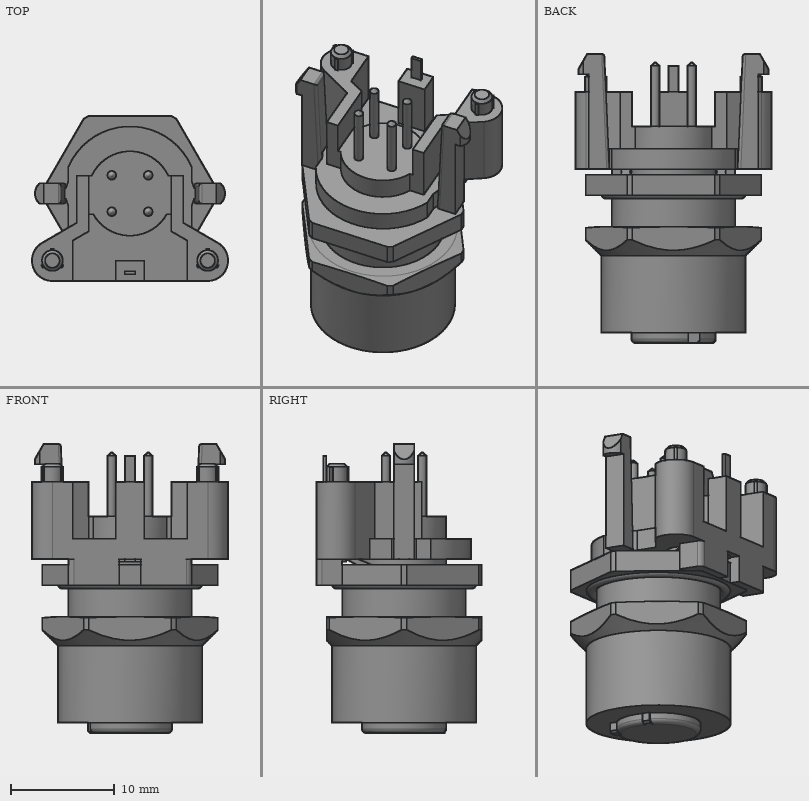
import cadquery as cq
import math


sleeve_bottom = 1.0
nut_hex_bottom = 8.48
nut_top = 11.28
flange_bottom = 14.3
flange_top = 16.32
plate_bottom = 16.85
plate_top = 18.82
insert_top = 21.0
bracket_top = 24.33
peg_top = 26.1
blade_top = 26.85
pin_tip = 27.22
clip_top = 28.0

hex_across_flats = 15.0
hex_corner_radius = 8.5

sleeve_radius = 7.0
nut_face_radius = 7.2
nut_face_drop = 0.1
neck_radius = 6.0
seal_cord_radius = 0.5
seal_center_radius = neck_radius + seal_cord_radius
seal_center_z = flange_bottom + 0.17

insert_radius = 4.1
insert_rounding = 0.45
pin_radius = 0.42
pin_offset = 1.75
pin_cone_height = 0.35
key_width = 0.75
key_length = 1.12
key_chamfer = 0.22
key_corners = ((-4.1, -1.4), (-2.55, 3.15))

plate_radius = 6.5
plate_half_width = 5.95
plate_front_y = -3.35
bracket_front = -8.48
column_radius = 2.0
overall_width = 19.0
column_x = overall_width / 2 - column_radius
column_y = bracket_front + column_radius
arm_slope = math.radians(30)
arm_tip_y = 1.75
arm_outer_x = 5.18
arm_inner_x = 4.0
arm_inner_bend_y = -3.67
recess_half_width = 5.55
bridge_back_y = -2.02
post_half_width = 1.4
post_depth = 2.0

skirt_back_y = -6.0
skirt_rounding = 0.5
skirt_notch_half_width = 1.05

peg_radius = 1.0
peg_chamfer = 0.3
peg_rib_reach = 1.15
peg_rib_width = 0.28

clip_width = 2.0
clip_inner_top_x = 6.7
clip_inner_foot_x = 6.22
clip_outer_x = 8.2
clip_inner_rounding = 0.28
barb_tip_x = 9.2
barb_slope_start_x = 8.37
barb_bottom = 26.0
barb_edge_height = 0.5
barb_round_start_x = 8.75
clip_neck_width = 1.0
clip_neck_root_width = 2.4

contact_thickness = 0.3
contact_half_width = 0.5
contact_front_y = -7.85
bar_half_width = 5.05
bar_bottom = 16.6
bar_back_y = -5.6
leg_width = 0.85
leg_top_front_y, leg_top_back_y = -5.65, -4.42
leg_foot_front_y, leg_foot_back_y = -4.65, -3.2


def box(x_min, x_max, y_min, y_max, z_min, z_max):
    return cq.Workplane("XY").box(
        x_max - x_min, y_max - y_min, z_max - z_min, centered=False
    ).translate((x_min, y_min, z_min))


def cylinder(radius, z_min, z_max):
    return cq.Workplane("XY").workplane(offset=z_min).circle(radius).extrude(z_max - z_min)


def hexagon(z_min, z_max):
    """Hexagon with flats facing +Y and -Y, its corners turned down to a cylinder."""
    corner_diameter = hex_across_flats / math.cos(math.radians(30))
    prism = cq.Workplane("XY").workplane(offset=z_min).polygon(6, corner_diameter).extrude(z_max - z_min)
    return prism.intersect(cylinder(hex_corner_radius, z_min, z_max))


def both_sides(shape):
    """The shape together with its mirror image across the YZ plane."""
    return shape.union(shape.mirror("YZ"))


def make_seal():
    return (
        cq.Workplane("XZ")
        .center(seal_center_radius, seal_center_z)
        .circle(seal_cord_radius)
        .revolve(360, (-seal_center_radius, 0), (-seal_center_radius, 1))
    )


def make_nut():
    """Hexagon with a 45 degree cone below and a shallow one on top, and a long sleeve."""
    cone_height = hex_corner_radius - sleeve_radius
    turned_limit = (
        cq.Workplane("XZ")
        .polyline([
            (0, nut_hex_bottom),
            (sleeve_radius, nut_hex_bottom),
            (hex_corner_radius, nut_hex_bottom + cone_height),
            (hex_corner_radius, nut_top - nut_face_drop),
            (nut_face_radius, nut_top),
            (0, nut_top),
        ])
        .close()
        .revolve(360, (0, 0), (0, 1))
    )
    nut = hexagon(nut_hex_bottom, nut_top).intersect(turned_limit)
    nut = nut.union(cylinder(sleeve_radius, sleeve_bottom, nut_hex_bottom))
    nut = nut.cut(cylinder(neck_radius, nut_hex_bottom, nut_top))
    return nut.cut(cylinder(insert_radius, sleeve_bottom, nut_hex_bottom))


def make_flange(seal):
    """Hexagonal flange and its neck, which enters the nut; the seal sits in its lower face."""
    flange = hexagon(flange_bottom, flange_top)
    flange = flange.union(cylinder(neck_radius, nut_hex_bottom, flange_bottom))
    flange = flange.cut(cylinder(insert_radius, nut_hex_bottom, flange_top))
    return flange.cut(seal)


def make_insert():
    """Contact insert with its keys at the mating end and four pins on top."""
    insert = cylinder(insert_radius, 0, insert_top).faces("<Z").edges().fillet(insert_rounding)
    for x, y in key_corners:
        key = box(x, x + key_length, y, y + key_width, 0, sleeve_bottom)
        insert = insert.union(key.edges("<X and <Z").chamfer(key_chamfer))
    for x in (-pin_offset, pin_offset):
        for y in (-pin_offset, pin_offset):
            pin = cylinder(pin_radius, plate_top, pin_tip - pin_cone_height)
            tip = cq.Solid.makeCone(pin_radius, 0, pin_cone_height, pnt=(0, 0, pin_tip - pin_cone_height))
            insert = insert.union(pin.union(tip).translate((x, y, 0)))
    return insert


def make_plate():
    """Disc with two flats, square at the front where it meets the floor between the arms."""
    plate = cylinder(plate_radius, plate_bottom, plate_top).intersect(
        box(-plate_half_width, plate_half_width, -plate_radius, plate_radius, plate_bottom, plate_top)
    )
    shoulders = box(-plate_half_width, plate_half_width, plate_front_y, 0, plate_bottom, plate_top)
    floor = box(
        -recess_half_width, recess_half_width, bracket_front, arm_inner_bend_y, plate_bottom, plate_top
    )
    bridge = box(-arm_inner_x, arm_inner_x, bridge_back_y, arm_tip_y, plate_bottom, insert_top)
    return plate.union(shoulders).union(floor).union(bridge)


def make_arm():
    """Left arm: a straight wall and a sloping wall that ends in a round column."""
    tangent_x = -column_x - column_radius * math.sin(arm_slope)
    tangent_y = column_y + column_radius * math.cos(arm_slope)
    outer_bend_y = tangent_y + (-arm_outer_x - tangent_x) * math.tan(arm_slope)
    recess_bend_y = arm_inner_bend_y - (recess_half_width - arm_inner_x) * math.tan(arm_slope)
    arc_middle = (
        -column_x - column_radius * math.cos(arm_slope),
        column_y - column_radius * math.sin(arm_slope),
    )
    return (
        cq.Workplane("XY")
        .workplane(offset=plate_bottom)
        .moveTo(-arm_inner_x, arm_tip_y)
        .lineTo(-arm_outer_x, arm_tip_y)
        .lineTo(-arm_outer_x, outer_bend_y)
        .lineTo(tangent_x, tangent_y)
        .threePointArc(arc_middle, (-column_x, bracket_front))
        .lineTo(-recess_half_width, bracket_front)
        .lineTo(-recess_half_width, recess_bend_y)
        .lineTo(-arm_inner_x, arm_inner_bend_y)
        .close()
        .extrude(bracket_top - plate_bottom)
    )


def make_peg():
    """Left locating peg with three ribs along its side."""
    peg = cylinder(peg_radius, bracket_top, peg_top).faces(">Z").edges().chamfer(peg_chamfer)
    rib = box(
        0, peg_rib_reach, -peg_rib_width / 2, peg_rib_width / 2, bracket_top, peg_top - peg_chamfer
    )
    for angle in (90, 210, 330):
        peg = peg.union(rib.rotate((0, 0, 0), (0, 0, 1), angle))
    return peg.translate((-column_x, column_y, 0))


def make_clip():
    """Left snap clip: a tapered upright with a barb rounded in plan, joined to the plate by a flared neck."""
    clip = (
        cq.Workplane("XZ")
        .polyline([
            (-clip_inner_foot_x, plate_bottom),
            (-clip_outer_x, plate_bottom),
            (-clip_outer_x, barb_bottom),
            (-barb_tip_x, barb_bottom),
            (-barb_tip_x, barb_bottom + barb_edge_height),
            (-barb_slope_start_x, clip_top),
            (-clip_inner_top_x, clip_top),
        ])
        .close()
        .extrude(clip_width / 2, both=True)
    )
    rounded_plan = (
        cq.Workplane("XY")
        .workplane(offset=plate_bottom)
        .moveTo(-clip_inner_foot_x, clip_width / 2)
        .lineTo(-barb_round_start_x, clip_width / 2)
        .threePointArc((-barb_tip_x, 0), (-barb_round_start_x, -clip_width / 2))
        .lineTo(-clip_inner_foot_x, -clip_width / 2)
        .close()
        .extrude(clip_top - plate_bottom)
    )
    clip = clip.intersect(rounded_plan)
    clip = clip.faces(">X").edges("not <Z").fillet(clip_inner_rounding)
    neck = (
        cq.Workplane("XY")
        .workplane(offset=plate_bottom)
        .polyline([
            (-clip_inner_top_x, clip_neck_width / 2),
            (-clip_inner_top_x, -clip_neck_width / 2),
            (-clip_inner_foot_x, -clip_neck_width / 2),
            (-plate_half_width, -clip_neck_root_width / 2),
            (-plate_half_width, clip_neck_root_width / 2),
            (-clip_inner_foot_x, clip_neck_width / 2),
        ])
        .close()
        .extrude(plate_top - plate_bottom)
    )
    return clip.union(neck)


def make_skirt():
    """Block that hangs in front of the flange, with a notch in its middle."""
    skirt = box(
        -plate_half_width, plate_half_width, bracket_front, skirt_back_y, flange_bottom, plate_bottom
    )
    skirt = skirt.edges("|Z and <Y").fillet(skirt_rounding)
    notch = box(
        -skirt_notch_half_width, skirt_notch_half_width, bracket_front, skirt_back_y,
        flange_bottom, plate_bottom,
    )
    return skirt.cut(notch).cut(hexagon(flange_bottom, flange_top))


def make_carrier(shield_contact):
    """Insert, plate, bracket and clips in one piece, with a slot for the shield contact."""
    post = box(
        -post_half_width, post_half_width,
        bracket_front, bracket_front + post_depth,
        plate_bottom, bracket_top,
    )
    carrier = make_insert().union(make_plate()).union(post).union(make_skirt())
    for side_feature in (make_arm(), make_peg(), make_clip()):
        carrier = carrier.union(both_sides(side_feature))
    return carrier.cut(shield_contact)


def make_shield_contact():
    """Upright blade bent back to a cross bar, with two legs sloping down to the flange."""
    blade = box(
        -contact_half_width, contact_half_width,
        contact_front_y, contact_front_y + contact_thickness, bar_bottom, blade_top,
    )
    link = box(
        -contact_half_width, contact_half_width, contact_front_y, bar_back_y, bar_bottom, plate_bottom
    )
    bar = box(-bar_half_width, bar_half_width, skirt_back_y, bar_back_y, bar_bottom, plate_bottom)
    leg = (
        cq.Workplane("YZ")
        .workplane(offset=-bar_half_width)
        .polyline([
            (leg_top_front_y, plate_bottom),
            (leg_top_back_y, plate_bottom),
            (leg_foot_back_y, flange_top),
            (leg_foot_front_y, flange_top),
        ])
        .close()
        .extrude(leg_width)
    )
    return blade.union(link).union(bar).union(both_sides(leg))


seal = make_seal()
nut = make_nut()
flange = make_flange(seal)
shield_contact = make_shield_contact()
carrier = make_carrier(shield_contact)

bodies = (seal, nut, flange, shield_contact, carrier)
result = cq.Compound.makeCompound([body.solids().val() for body in bodies])